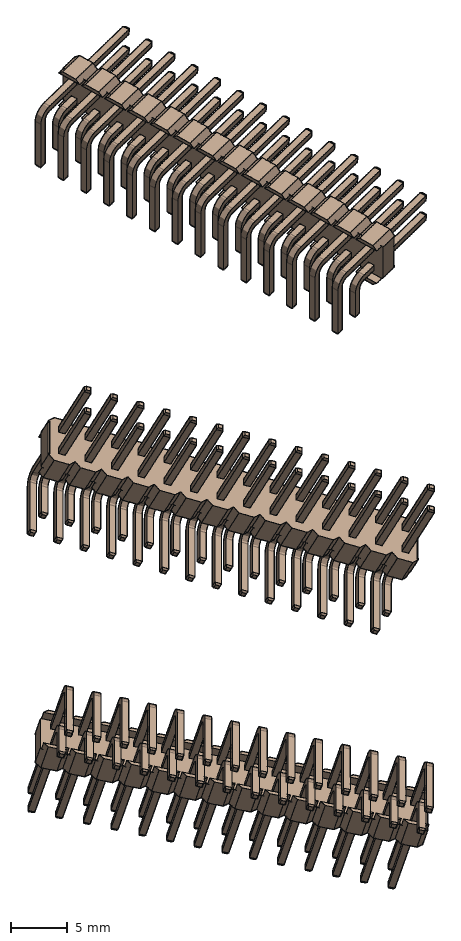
import cadquery as cq


body_length = 35.55
pin_columns = 14
pitch = body_length / pin_columns
row_heights = (pitch / 2, -pitch / 2)

body_height = 2 * pitch
body_depth = 1.75
cell_chamfer = 0.55
lip_depth = 2.5
lip_thickness = 0.43
corner_relief = 0.1
relief_height = 3.77

pin_width = 0.65
rear_reach = 6.0
overall_depth = 13.05
overall_height = 8.07
bend_inner_radius = 0.65
tip_length = 0.2
tip_inset = 0.1

half_height = body_height / 2
pin_bottom = half_height - overall_height
upper_leg_y = rear_reach - overall_depth + pin_width / 2
column_positions = [(i - (pin_columns - 1) / 2) * pitch for i in range(pin_columns)]


def make_cell(x_center, depth):
    """One octagonal cell of the body, reaching from the rear face towards -Y."""
    return (
        cq.Workplane("XZ")
        .center(x_center, 0)
        .rect(pitch, body_height)
        .extrude(depth)
        .edges("|Y")
        .chamfer(cell_chamfer)
    )


def make_body():
    """Row of cells with thin lips along the top and bottom and a small relief at each rear corner."""
    body = cq.Workplane("XY").box(body_length, body_depth, body_height - 2 * cell_chamfer)
    body = body.translate((0, -body_depth / 2, 0))
    lip_gap = cq.Workplane("XY").box(body_length, 2 * lip_depth, body_height - 2 * lip_thickness)
    for x in column_positions:
        lips = make_cell(x, lip_depth).cut(lip_gap)
        body = body.union(make_cell(x, body_depth)).union(lips)
    for end_x in (-body_length / 2, body_length / 2):
        relief = cq.Workplane("XY").box(2 * corner_relief, 2 * corner_relief, relief_height)
        body = body.cut(relief.translate((end_x, 0, 0)))
    return body


def make_tip(plane):
    """Tapered pin end, growing from the origin of the plane along its normal."""
    tip_width = pin_width - 2 * tip_inset
    return (
        cq.Workplane(plane)
        .rect(pin_width, pin_width)
        .workplane(offset=tip_length)
        .rect(tip_width, tip_width)
        .loft(ruled=True)
    )


def make_pin(row_height, leg_y):
    """Square pin on X = 0 with a rounded right-angle bend and a tapered tip at each end."""
    rear_y = rear_reach - tip_length
    leg_end_z = pin_bottom + tip_length
    bend_radius = bend_inner_radius + pin_width / 2
    path = (
        cq.Workplane("YZ")
        .moveTo(rear_y, row_height)
        .lineTo(leg_y + bend_radius, row_height)
        .radiusArc((leg_y, row_height - bend_radius), -bend_radius)
        .lineTo(leg_y, leg_end_z)
    )
    rear_plane = cq.Plane(origin=(0, rear_y, row_height), xDir=(1, 0, 0), normal=(0, 1, 0))
    leg_plane = cq.Plane(origin=(0, leg_y, leg_end_z), xDir=(1, 0, 0), normal=(0, 0, -1))
    shank = cq.Workplane(rear_plane).rect(pin_width, pin_width).sweep(path)
    return shank.union(make_tip(rear_plane)).union(make_tip(leg_plane))


pins = cq.Workplane("XY")
for row, row_height in enumerate(row_heights):
    pin = make_pin(row_height, upper_leg_y + row * pitch)
    for x in column_positions:
        pins = pins.add(pin.translate((x, 0, 0)))

result = make_body().union(pins.combine())